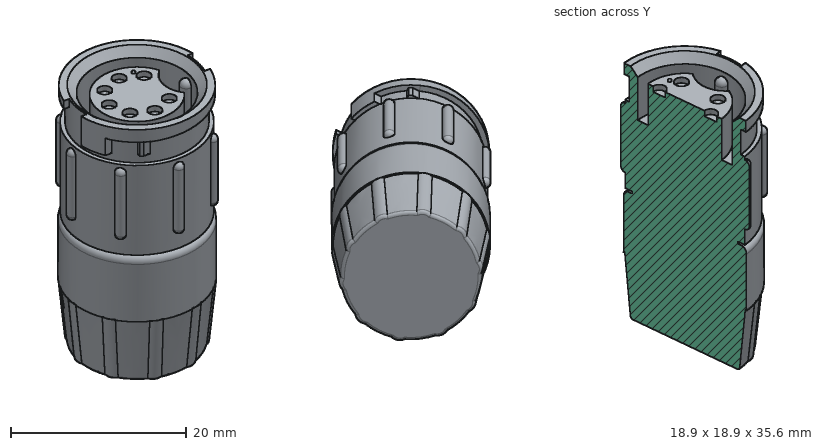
import cadquery as cq

total_height = 35.63
ring_top = 17.78
cap_top = 8.9
sleeve_bottom = 18.03
sleeve_top = 30.55

rib_tip_radius = 18.92 / 2
rib_radius = 0.68
sleeve_radius = rib_tip_radius - rib_radius
groove_radius = 7.75
ring_radius = 9.05
ring_round = 0.82
neck_radius = 8.23
rim_radius = 8.95

cap_top_radius = 8.87
cap_bottom_radius = 8.0
cap_ridge_count = 10
ridge_radius = 1.43
ridge_height = 0.2
cap_round = 0.43

rib_count = 8
rib_top = 30.07
rib_bottom = 20.25

slot_width = 3.65
rim_depth = 1.75
ramp_start_depth = 1.15
ramp_start_angle = 11.5
ramp_end_angle = 112.0
hook_depth = 4.1
hook_outer_x = 4.95
stop_x = 7.62
stop_y = 4.35
stop_radius = 8.6
stop_depth = 3.92

mouth_radius = 7.98
socket_radius = 6.9
socket_depth = 7.13
insert_radius = 5.4
insert_recess = 1.32
insert_notch_radius = 3.7
insert_notch_centre_y = 7.3
key_radius = 0.8
key_centre_y = 6.63
key_recess = 1.7
contact_pitch_angle = 45
notch_angle = 90
contact_hole_radius = 0.873
contact_circle_radius = 3.78
contact_hole_depth = 0.8
dot_radius = 0.25
dot_x = -3.85
dot_y = 2.0


def cylinder(radius, bottom, top):
    """Upright cylinder on the Z axis between two heights."""
    return cq.Workplane("XY").workplane(offset=bottom).circle(radius).extrude(top - bottom)


def box(x_range, y_range, z_range):
    """Box between pairs of limits along X, Y and Z."""
    size = [high - low for low, high in (x_range, y_range, z_range)]
    corner = (x_range[0], y_range[0], z_range[0])
    return cq.Workplane("XY").box(*size, centered=False).translate(corner)


def turned(solid, angle):
    """Solid turned about the Z axis."""
    return solid.rotate((0, 0, 0), (0, 0, 1), angle)


def domed_pin(radius, bottom, top):
    """Upright pin on the Z axis whose top is a hemisphere."""
    shank_top = top - radius
    dome = cq.Workplane("XY").sphere(radius).translate((0, 0, shank_top))
    return cylinder(radius, bottom, shank_top).union(dome)


def make_cap():
    """Cone with rounded ridges lying along it, rounded at the bottom edge."""
    cap = (
        cq.Workplane("XY").circle(cap_bottom_radius)
        .workplane(offset=cap_top).circle(cap_top_radius).loft()
    )
    crest_inset = ridge_radius - ridge_height
    ridge = (
        cq.Workplane("XY").center(0, crest_inset - cap_bottom_radius).circle(ridge_radius)
        .workplane(offset=cap_top).center(0, cap_bottom_radius - cap_top_radius).circle(ridge_radius)
        .loft()
    )
    for index in range(cap_ridge_count):
        cap = cap.union(turned(ridge, index * 360 / cap_ridge_count))
    return cap.faces("<Z").edges().fillet(cap_round)


def make_sleeve():
    """Grip sleeve with round-ended upright ribs."""
    sleeve = cylinder(sleeve_radius, sleeve_bottom, sleeve_top)
    shank_bottom = rib_bottom + rib_radius
    lower_dome = cq.Workplane("XY").sphere(rib_radius).translate((0, 0, shank_bottom))
    rib = domed_pin(rib_radius, shank_bottom, rib_top).union(lower_dome).translate((sleeve_radius, 0, 0))
    for index in range(rib_count):
        sleeve = sleeve.union(turned(rib, index * 360 / rib_count))
    return sleeve


def make_ramp_cutter():
    """Helical cutter under the rim, rising counterclockwise towards the -Y slot."""
    sweep_angle = ramp_end_angle - ramp_start_angle
    rise = rim_depth - ramp_start_depth
    pitch = rise * 360 / sweep_angle
    cutter_height = 2 * rise
    cutter_width = 2.15
    path = cq.Wire.makeHelix(pitch, rise, rim_radius)
    cutter = (
        cq.Workplane("XZ").center(rim_radius, -cutter_height / 2).rect(cutter_width, cutter_height)
        .sweep(cq.Workplane(path), isFrenet=True)
        .translate((0, 0, total_height - rim_depth))
    )
    return turned(cutter, -90 - ramp_end_angle)


def make_bayonet():
    """Ramped rim, locking hooks and stops; each repeats after half a turn."""
    rim = cylinder(rim_radius, total_height - rim_depth, total_height)
    rim_envelope = cylinder(rim_radius, 0, total_height)
    stop_envelope = cylinder(stop_radius, 0, total_height)
    slot = box((-slot_width / 2, slot_width / 2), (-2 * rim_radius, 0), (0, total_height))
    hook = box(
        (slot_width / 2, hook_outer_x), (-rim_radius, 0), (total_height - hook_depth, total_height)
    ).intersect(rim_envelope)
    stop = box(
        (0, stop_x), (-stop_y, 0), (total_height - stop_depth, total_height - ramp_start_depth)
    ).intersect(stop_envelope)
    ramp_cutter = make_ramp_cutter()
    for angle in (0, 180):
        rim = rim.cut(turned(ramp_cutter, angle)).cut(turned(slot, angle))
    for angle in (0, 180):
        rim = rim.union(turned(hook, angle)).union(turned(stop, angle))
    return rim


def make_socket():
    """Open socket with a flared mouth."""
    flare = mouth_radius - socket_radius
    mouth = (
        cq.Workplane("XY").workplane(offset=total_height - flare).circle(socket_radius)
        .workplane(offset=flare).circle(mouth_radius).loft()
    )
    return cylinder(socket_radius, total_height - socket_depth, total_height).union(mouth)


def make_insert():
    """Contact insert with a round notch, contact holes and a marking dot."""
    bottom = total_height - socket_depth
    top = total_height - insert_recess
    insert = cylinder(insert_radius, bottom, top)
    notch = cylinder(insert_notch_radius, bottom, top).translate((0, insert_notch_centre_y, 0))
    insert = insert.cut(notch)
    hole = cylinder(contact_hole_radius, top - contact_hole_depth, top).translate((contact_circle_radius, 0, 0))
    for angle in range(0, 360, contact_pitch_angle):
        if angle != notch_angle:
            insert = insert.cut(turned(hole, angle))
    return insert.union(cq.Workplane("XY").sphere(dot_radius).translate((dot_x, dot_y, top)))


cap = make_cap()
ring = cylinder(ring_radius, cap_top, ring_top).faces(">Z").edges().fillet(ring_round)
groove = cylinder(groove_radius, ring_top, sleeve_bottom)
neck = cylinder(neck_radius, sleeve_top, total_height)
key = domed_pin(key_radius, total_height - socket_depth, total_height - key_recess)

result = cap.union(ring).union(groove).union(make_sleeve())
result = result.union(neck.union(make_bayonet()))
result = result.cut(make_socket()).union(make_insert()).union(key.translate((0, key_centre_y, 0)))